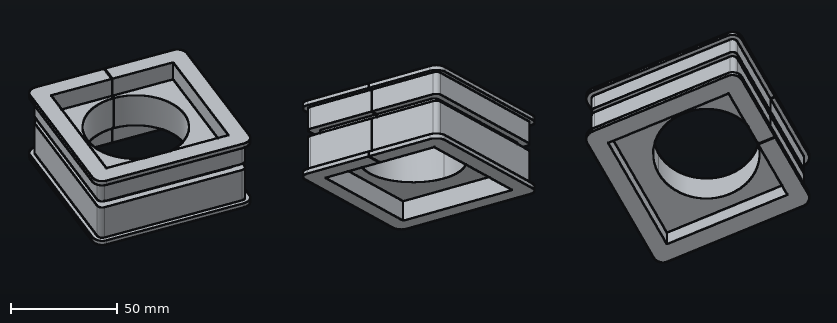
import cadquery as cq

side = 81.0
height = 37.5
corner_radius = 5.0

flange_thickness = 2.5
body_inset = 2.4
body_radius = corner_radius - body_inset
groove_bottom = 20.25
groove_width = 3.6
groove_inset = 6.5
groove_radius = 2.5

recess_side = 63.0
top_recess_depth = 10.0
bottom_recess_depth = 10.0
bore_diameter = 50.05
bore_offset_x = -4.5
slit_width = 0.3


def rounded_plate(width, radius, bottom, top):
    """Square plate with rounded vertical corners between two heights."""
    plate = cq.Workplane("XY").workplane(offset=bottom).rect(width, width).extrude(top - bottom)
    return plate.edges("|Z").fillet(radius)


def square_recess(bottom, depth):
    """Sharp-cornered square cutter."""
    return cq.Workplane("XY").workplane(offset=bottom).rect(recess_side, recess_side).extrude(depth)


body_side = side - 2 * body_inset
groove_side = side - 2 * groove_inset
groove_top = groove_bottom + groove_width
lower_flange = rounded_plate(side, corner_radius, 0, flange_thickness)
lower_body = rounded_plate(body_side, body_radius, flange_thickness, groove_bottom)
groove_core = rounded_plate(groove_side, groove_radius, groove_bottom, groove_top)
upper_body = rounded_plate(body_side, body_radius, groove_top, height - flange_thickness)
upper_flange = rounded_plate(side, corner_radius, height - flange_thickness, height)
frame = lower_flange.union(lower_body).union(groove_core).union(upper_body).union(upper_flange)

frame = frame.cut(square_recess(height - top_recess_depth, top_recess_depth))
frame = frame.cut(square_recess(0, bottom_recess_depth))

bore = cq.Workplane("XY").center(bore_offset_x, 0).circle(bore_diameter / 2).extrude(height)

slit_length = side / 2 + bore_offset_x
slit = (
    cq.Workplane("XY")
    .center(bore_offset_x - slit_length / 2, 0)
    .rect(slit_length, slit_width)
    .extrude(height)
)

result = frame.cut(bore).cut(slit)